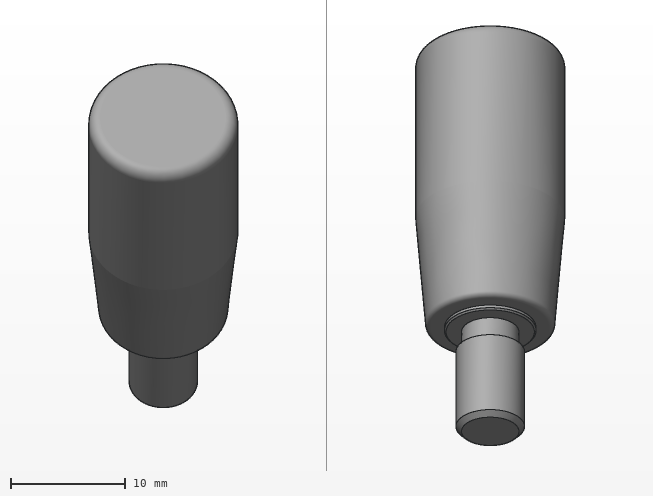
import cadquery as cq

TOTAL_HEIGHT = 37.4

SHANK_DIAMETER = 6.0
SHANK_LENGTH = 8.0
TIP_CHAMFER = 0.5
NECK_DIAMETER = 5.0
FLANGE_DIAMETER = 8.0
FLANGE_BOTTOM = 10.0
FLANGE_THICKNESS = 0.4
FLANGE_CHAMFER = 0.15

GRIP_DIAMETER = 13.0
GRIP_BASE_DIAMETER = 11.22
GRIP_BOTTOM = FLANGE_BOTTOM + FLANGE_THICKNESS
TAPER_TOP = 21.4
TOP_FILLET = 1.0
BASE_FILLET = 0.5


def cylinder(diameter, bottom, top):
    """Solid cylinder on the Z axis between two heights."""
    return cq.Workplane("XY").workplane(offset=bottom).circle(diameter / 2).extrude(top - bottom)


def make_stud():
    """Shank with a chamfered tip, a thinner neck and a chamfered flange that seats against the grip."""
    shank = cylinder(SHANK_DIAMETER, 0, SHANK_LENGTH).faces("<Z").chamfer(TIP_CHAMFER)
    neck = cylinder(NECK_DIAMETER, SHANK_LENGTH, FLANGE_BOTTOM)
    flange = cylinder(FLANGE_DIAMETER, FLANGE_BOTTOM, GRIP_BOTTOM).faces("<Z").chamfer(FLANGE_CHAMFER)
    return shank.union(neck).union(flange)


def make_grip():
    """Revolved barrel with rounded ends, resting on the stud flange."""
    profile = [
        (0, GRIP_BOTTOM),
        (GRIP_BASE_DIAMETER / 2, GRIP_BOTTOM),
        (GRIP_DIAMETER / 2, TAPER_TOP),
        (GRIP_DIAMETER / 2, TOTAL_HEIGHT),
        (0, TOTAL_HEIGHT),
    ]
    barrel = cq.Workplane("XZ").polyline(profile).close().revolve(360, (0, 0, 0), (0, 1, 0))
    return barrel.faces(">Z").edges().fillet(TOP_FILLET).faces("<Z").edges().fillet(BASE_FILLET)


stud = make_stud()
grip = make_grip()

result = cq.Compound.makeCompound([stud.val(), grip.val()])